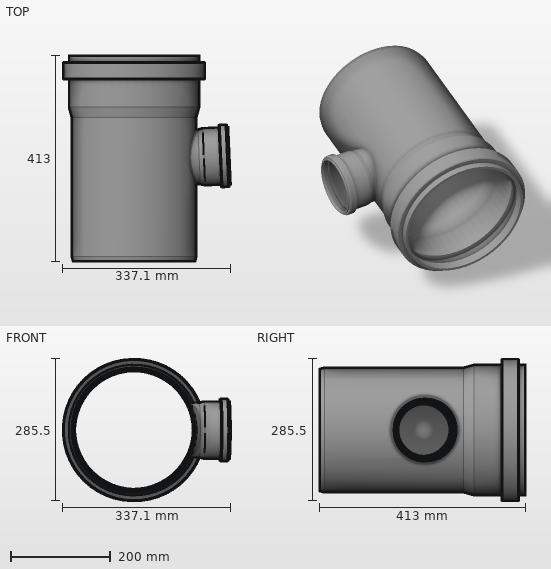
import cadquery as cq

length = 413.0
pipe_od = 250.5
pipe_bore = 236.2
socket_od = 262.3
socket_bore = 251.0
bead_od = 285.5
bead_shoulder_od = 282.0
bead_groove_od = 274.5
spigot_chamfer_length = 9.5
spigot_chamfer_depth = 2.5
flare_start = 289.0
flare_end = 310.0
bead_start = 365.0
bead_end = 400.0
bead_chamfer = 1.5
bead_wall = 5.5

branch_y = 204.0
branch_tilt = 2.5
branch_length = 192.0
branch_od = 110.3
branch_bore = 103.5
branch_socket_od = 115.5
branch_socket_bore = 110.5
branch_bead_od = 126.0
branch_bead_shoulder_od = 123.0
branch_groove_od = 121.0
branch_flare_start = 131.0
branch_flare_end = 140.5
branch_bead_start = 172.5
branch_bead_end = 189.0
branch_bead_chamfer = 2.5
branch_bead_wall = 2.5
junction_fillet = 2.0


def revolve_profile(stations):
    """Solid of revolution about +Y from (diameter, distance along axis) stations."""
    outline = [(diameter / 2, distance) for diameter, distance in stations]
    first, last = stations[0][1], stations[-1][1]
    points = [(0, first)] + outline + [(0, last)]
    return cq.Workplane("XY").polyline(points).close().revolve(360, (0, 0, 0), (0, 1, 0))


def bead(start, end, chamfer, shoulder, crest):
    """Stations of a raised ring with bevelled edges."""
    return [(shoulder, start), (crest, start + chamfer), (crest, end - chamfer), (shoulder, end)]


def place_branch(solid):
    """Turn a body from the +Y axis to the branch axis, leaning towards the socket."""
    return solid.rotate((0, 0, 0), (0, 0, 1), branch_tilt - 90).translate((0, branch_y, 0))


main_outer = revolve_profile(
    [
        (pipe_od - 2 * spigot_chamfer_depth, 0),
        (pipe_od, spigot_chamfer_length),
        (pipe_od, flare_start),
        (socket_od, flare_end),
        (socket_od, bead_start),
        *bead(bead_start, bead_end, bead_chamfer, bead_shoulder_od, bead_od),
        (socket_od, bead_end),
        (socket_od, length),
    ]
)

main_inner = revolve_profile(
    [
        (pipe_bore, 0),
        (pipe_bore, flare_start),
        (socket_bore, flare_end),
        (socket_bore, bead_start + bead_wall),
        (bead_groove_od, bead_start + bead_wall),
        (bead_groove_od, bead_end - bead_wall),
        (socket_bore, bead_end - bead_wall),
        (socket_bore, length),
    ]
)

branch_outer = place_branch(
    revolve_profile(
        [
            (branch_od, 0),
            (branch_od, branch_flare_start),
            (branch_socket_od, branch_flare_end),
            (branch_socket_od, branch_bead_start),
            *bead(
                branch_bead_start,
                branch_bead_end,
                branch_bead_chamfer,
                branch_bead_shoulder_od,
                branch_bead_od,
            ),
            (branch_socket_od, branch_bead_end),
            (branch_socket_od, branch_length),
        ]
    )
)

branch_inner = place_branch(
    revolve_profile(
        [
            (branch_bore, 0),
            (branch_bore, branch_flare_start),
            (branch_socket_bore, branch_flare_end),
            (branch_socket_bore, branch_bead_start + branch_bead_wall),
            (branch_groove_od, branch_bead_start + branch_bead_wall),
            (branch_groove_od, branch_bead_end - branch_bead_wall),
            (branch_socket_bore, branch_bead_end - branch_bead_wall),
            (branch_socket_bore, branch_length),
        ]
    )
)

junction_box = cq.selectors.BoxSelector(
    (0, branch_y - branch_od, -branch_od),
    (pipe_od / 2 + junction_fillet, branch_y + branch_od, branch_od),
    boundingbox=True,
)
body = main_outer.union(branch_outer).edges(junction_box).fillet(junction_fillet)

result = body.cut(main_inner).cut(branch_inner)